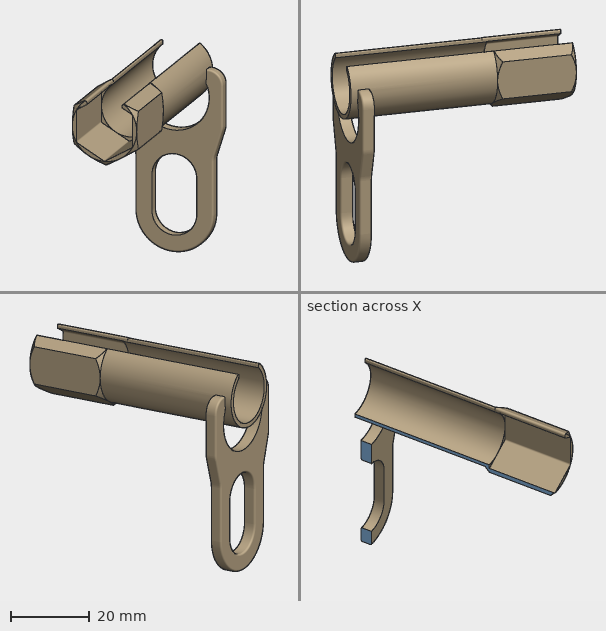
import cadquery as cq
import math

OVERALL_LENGTH = 60.0
HEX_LENGTH = 21.0
HEX_FLAT_RATIO = math.cos(math.radians(30))
HEX_CORNER_RADIUS = 10.0
HEX_FLAT_RADIUS = HEX_CORNER_RADIUS * HEX_FLAT_RATIO
TUBE_RADIUS = HEX_FLAT_RADIUS
CORNER_CHAMFER = HEX_CORNER_RADIUS - TUBE_RADIUS

BORE_RADIUS = 7.5
SOCKET_FLAT_RADIUS = BORE_RADIUS
SOCKET_CORNER_RADIUS = SOCKET_FLAT_RADIUS / HEX_FLAT_RATIO
SOCKET_DEPTH = HEX_LENGTH - CORNER_CHAMFER
SOCKET_CORNER_FILLET = 0.5

OPENING_WIDTH = 9.5
HEX_LIP_FILLET = 0.5
TUBE_LIP_FILLET = 0.4

PLATE_THICKNESS = 3.2
PLATE_END_GAP = 1.8
PLATE_BACK_Y = OVERALL_LENGTH - PLATE_END_GAP
PLATE_FRONT_Y = PLATE_BACK_Y - PLATE_THICKNESS
PLATE_TOP_Z = 1.5
SHOULDER_HALF_WIDTH = 13.0
SHOULDER_BOTTOM_Z = -14.0
STEM_HALF_WIDTH = 10.5
STEM_TOP_Z = -22.0
PLATE_CORNER_RADIUS = 4.0
PLATE_EDGE_FILLET = 0.5

CLEARANCE_HOLE_RADIUS = 9.35
CLEARANCE_HOLE_Z = -5.9

EYE_RADIUS = 6.0
EYE_BOTTOM_CENTER_Z = -37.0
EYE_TOP_CENTER_Z = -27.5


def xz_plane(y):
    """Sketch plane at the given y; a negative extrusion grows toward +Y."""
    return cq.Workplane("XZ", origin=(0, y, 0))


def cylinder_along_y(radius, y_start, y_end):
    return xz_plane(y_start).circle(radius).extrude(y_start - y_end)


def hexagon_along_y(corner_radius, y_start, y_end):
    """Hexagonal prism with one corner pointing straight down."""
    corners = []
    for degrees in range(30, 360, 60):
        angle = math.radians(degrees)
        corners.append((corner_radius * math.cos(angle), corner_radius * math.sin(angle)))
    return xz_plane(y_start).polyline(corners).close().extrude(y_start - y_end)


def open_top(body, lip_fillet):
    """Cut the top opening down to the axis and round its two outer lips."""
    opening = cq.Workplane("XY").box(
        OPENING_WIDTH, OVERALL_LENGTH, HEX_CORNER_RADIUS, centered=(True, False, False)
    )
    search_half_width = (OPENING_WIDTH / 2 + HEX_FLAT_RADIUS) / 2
    lips = cq.selectors.BoxSelector(
        (-search_half_width, 0, HEX_CORNER_RADIUS / 2),
        (search_half_width, OVERALL_LENGTH, HEX_CORNER_RADIUS),
    )
    return body.cut(opening).edges("|Y").edges(lips).fillet(lip_fillet)


def make_hex_end():
    prism = open_top(hexagon_along_y(HEX_CORNER_RADIUS, 0, HEX_LENGTH), HEX_LIP_FILLET)
    chamfer_envelope = cylinder_along_y(HEX_CORNER_RADIUS, 0, HEX_LENGTH).edges().chamfer(CORNER_CHAMFER)
    return prism.intersect(chamfer_envelope)


def make_tube():
    return open_top(cylinder_along_y(TUBE_RADIUS, HEX_LENGTH, OVERALL_LENGTH), TUBE_LIP_FILLET)


def make_socket():
    """Hexagonal recess in the open end, with slightly rounded corners."""
    socket = hexagon_along_y(SOCKET_CORNER_RADIUS, 0, SOCKET_DEPTH)
    return socket.edges("|Y").fillet(SOCKET_CORNER_FILLET)


def make_plate():
    """Hanger: wide shoulders with a tube clearance, a narrow stem with an eye."""
    plate = (
        xz_plane(PLATE_FRONT_Y)
        .moveTo(-SHOULDER_HALF_WIDTH, PLATE_TOP_Z)
        .lineTo(SHOULDER_HALF_WIDTH, PLATE_TOP_Z)
        .lineTo(SHOULDER_HALF_WIDTH, SHOULDER_BOTTOM_Z)
        .lineTo(STEM_HALF_WIDTH, STEM_TOP_Z)
        .lineTo(STEM_HALF_WIDTH, EYE_BOTTOM_CENTER_Z)
        .threePointArc(
            (0, EYE_BOTTOM_CENTER_Z - STEM_HALF_WIDTH),
            (-STEM_HALF_WIDTH, EYE_BOTTOM_CENTER_Z),
        )
        .lineTo(-STEM_HALF_WIDTH, STEM_TOP_Z)
        .lineTo(-SHOULDER_HALF_WIDTH, SHOULDER_BOTTOM_Z)
        .close()
        .extrude(-PLATE_THICKNESS)
    )
    bound = 2 * SHOULDER_HALF_WIDTH
    bends = cq.selectors.BoxSelector(
        (-bound, PLATE_FRONT_Y, EYE_TOP_CENTER_Z),
        (bound, PLATE_BACK_Y, bound),
    )
    plate = plate.edges("|Y").edges(bends).fillet(PLATE_CORNER_RADIUS)
    plate = plate.faces("<Y").edges().fillet(PLATE_EDGE_FILLET)

    eye_length = EYE_TOP_CENTER_Z - EYE_BOTTOM_CENTER_Z + 2 * EYE_RADIUS
    eye = (
        xz_plane(PLATE_FRONT_Y)
        .center(0, (EYE_TOP_CENTER_Z + EYE_BOTTOM_CENTER_Z) / 2)
        .slot2D(eye_length, 2 * EYE_RADIUS, 90)
        .extrude(-PLATE_THICKNESS)
    )
    plate = plate.cut(eye)
    plate = plate.faces(">Y").edges().fillet(PLATE_EDGE_FILLET)

    clearance_hole = cylinder_along_y(CLEARANCE_HOLE_RADIUS, PLATE_FRONT_Y, PLATE_BACK_Y)
    clearance_hole = clearance_hole.translate((0, 0, CLEARANCE_HOLE_Z))
    return plate.cut(clearance_hole)


bore = cylinder_along_y(BORE_RADIUS, SOCKET_DEPTH, OVERALL_LENGTH)
result = make_hex_end().union(make_tube()).union(make_plate()).cut(bore).cut(make_socket())